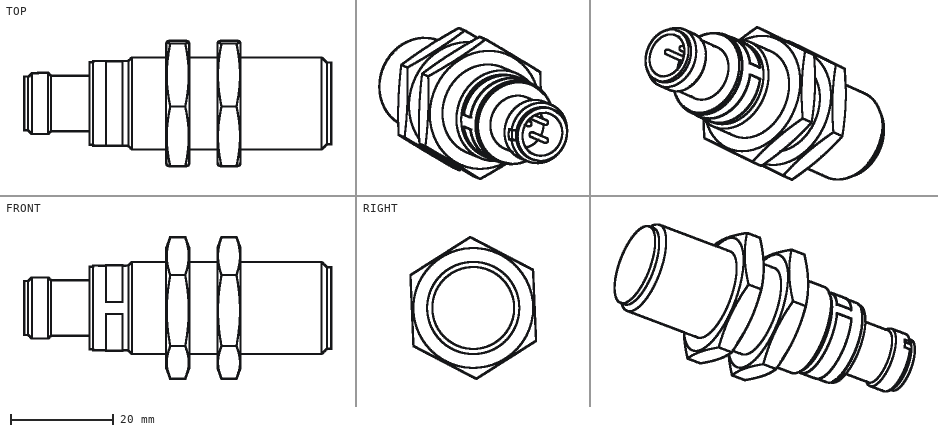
import cadquery as cq
import math


LIP_DIAMETER = 10.55
RING_DIAMETER = 12.0
NECK_DIAMETER = 10.9
RIM_DIAMETER = 16.15
COLLAR_DIAMETER = 16.6
BARREL_DIAMETER = 18.0
END_LIP_DIAMETER = 16.0

LENGTH = 60.0
RING_CHAMFER_START = 0.8
RING_END = 5.25
NECK_END = 12.75
COLLAR_START = 13.5
COLLAR_END = 20.35
END_LIP_LENGTH = 0.9

SOCKET_DIAMETER = 8.5
SOCKET_DEPTH = 9.0
KEYWAY_WIDTH = 2.0
KEYWAY_END = 2.7
PIN_DIAMETER = 1.0
PIN_CIRCLE_DIAMETER = 5.0
PIN_TIP_X = 2.0
PIN_ANGLES = (45, 135, 225)

WINDOW_DIAMETER = 16.8
WINDOW_FLOOR_DIAMETER = 16.0
WINDOW_START = 16.0
WINDOW_WIDTH = 3.25
WINDOW_GAP = 2.35

NUT_ACROSS_FLATS = 24.0
NUT_THICKNESS = 4.5
NUT_STARTS = (27.75, 37.75)
NUT_TILT = 2.45
NUT_FACE_DIAMETER = 23.4
NUT_CHAMFER_ANGLE = 20.0


def revolve_about_x(profile):
    """Full turn of an (x, radius) profile about the X axis."""
    sketch = cq.Workplane("XY").polyline(profile).close()
    return sketch.revolve(360, (0, 0, 0), (1, 0, 0))


def cylinder_along_x(diameter, start, length):
    return cq.Workplane("YZ").workplane(offset=start).circle(diameter / 2).extrude(length)


def make_window(side):
    """Half ring above (side = 1) or below (side = -1) the axis."""
    ring = cylinder_along_x(WINDOW_DIAMETER, WINDOW_START, WINDOW_WIDTH)
    ring = ring.cut(cylinder_along_x(WINDOW_FLOOR_DIAMETER, WINDOW_START, WINDOW_WIDTH))
    half_space = cq.Workplane("XY").box(
        WINDOW_WIDTH, WINDOW_DIAMETER, WINDOW_DIAMETER, centered=(False, True, True)
    )
    middle_z = side * (WINDOW_GAP + WINDOW_DIAMETER) / 2
    return ring.intersect(half_space.translate((WINDOW_START, 0, middle_z)))


def make_housing(windows):
    lip_radius = LIP_DIAMETER / 2
    ring_radius = RING_DIAMETER / 2
    neck_radius = NECK_DIAMETER / 2
    rim_radius = RIM_DIAMETER / 2
    collar_radius = COLLAR_DIAMETER / 2
    barrel_radius = BARREL_DIAMETER / 2
    end_lip_radius = END_LIP_DIAMETER / 2
    end_lip_start = LENGTH - END_LIP_LENGTH

    housing = revolve_about_x([
        (0, 0),
        (0, lip_radius),
        (RING_CHAMFER_START, lip_radius),
        (RING_CHAMFER_START + ring_radius - lip_radius, ring_radius),
        (RING_END - (ring_radius - neck_radius), ring_radius),
        (RING_END, neck_radius),
        (NECK_END, neck_radius),
        (NECK_END, rim_radius),
        (COLLAR_START, rim_radius),
        (COLLAR_START, collar_radius),
        (COLLAR_END, collar_radius),
        (COLLAR_END + barrel_radius - collar_radius, barrel_radius),
        (end_lip_start - (barrel_radius - end_lip_radius), barrel_radius),
        (end_lip_start, end_lip_radius),
        (LENGTH, end_lip_radius),
        (LENGTH, 0),
    ])
    housing = housing.cut(cylinder_along_x(SOCKET_DIAMETER, 0, SOCKET_DEPTH))

    keyway = cq.Workplane("XY").box(
        KEYWAY_END, RING_DIAMETER, KEYWAY_WIDTH, centered=(False, False, True)
    )
    housing = housing.cut(keyway.translate((0, lip_radius, 0)))

    for window in windows:
        housing = housing.cut(window)
    return housing


def make_pin(angle):
    """Contact pin with a hemispherical tip, standing on the socket floor."""
    radius = PIN_DIAMETER / 2
    tip_center_x = PIN_TIP_X + radius
    shank = cylinder_along_x(PIN_DIAMETER, tip_center_x, SOCKET_DEPTH - tip_center_x)
    pin = shank.union(cq.Workplane("XY").sphere(radius).translate((tip_center_x, 0, 0)))
    y = PIN_CIRCLE_DIAMETER / 2 * math.cos(math.radians(angle))
    z = PIN_CIRCLE_DIAMETER / 2 * math.sin(math.radians(angle))
    return pin.translate((0, y, z))


def make_nut(start):
    """Hexagonal nut on the barrel, its corners chamfered on both faces."""
    corner_radius = NUT_ACROSS_FLATS / math.sqrt(3)
    face_radius = NUT_FACE_DIAMETER / 2
    chamfer_depth = (corner_radius - face_radius) * math.tan(math.radians(NUT_CHAMFER_ANGLE))
    end = start + NUT_THICKNESS

    hexagon = cq.Workplane("YZ").workplane(offset=start).polygon(6, 2 * corner_radius)
    nut = hexagon.extrude(NUT_THICKNESS)
    nut = nut.rotate((0, 0, 0), (1, 0, 0), 90 + NUT_TILT)
    double_cone = revolve_about_x([
        (start, 0),
        (start, face_radius),
        (start + chamfer_depth, corner_radius),
        (end - chamfer_depth, corner_radius),
        (end, face_radius),
        (end, 0),
    ])
    bore = cylinder_along_x(BARREL_DIAMETER, start, NUT_THICKNESS)
    return nut.intersect(double_cone).cut(bore)


windows = [make_window(side) for side in (1, -1)]
housing = make_housing(windows)
pins = [make_pin(angle) for angle in PIN_ANGLES]
nuts = [make_nut(start) for start in NUT_STARTS]

bodies = [housing, *windows, *pins, *nuts]
result = cq.Compound.makeCompound([body.val() for body in bodies])